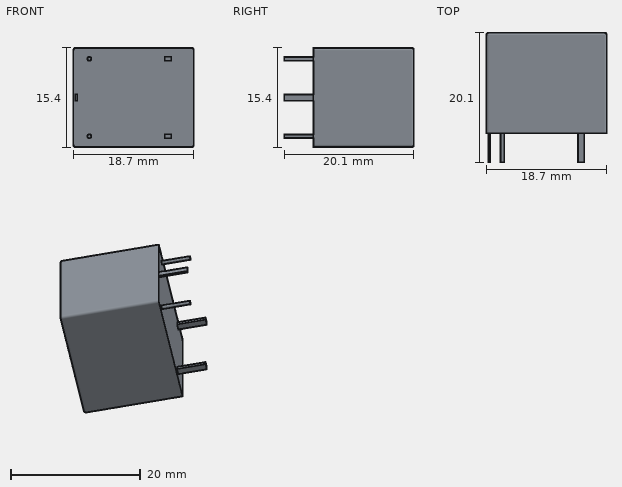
import cadquery as cq

width = 18.7
height = 15.4
total_depth = 20.1
pin_length = 4.5
housing_depth = total_depth - pin_length
edge_radius = 0.4

row_z = 5.99
round_pin_x = -6.85
blade_pin_x = 5.37
side_pin_x = -8.86

round_pin_diameter = 0.6
blade_width = 1.0
blade_thickness = 0.6
side_pin_thickness = 0.3

pin_face = cq.Workplane("XZ")


def make_housing():
    box = pin_face.rect(width, height).extrude(-housing_depth)
    return box.edges("|Y or >Y").fillet(edge_radius)


def rectangular_pin(x, z, size_x, size_z):
    return pin_face.center(x, z).rect(size_x, size_z).extrude(pin_length)


def round_pin(x, z):
    return pin_face.center(x, z).circle(round_pin_diameter / 2).extrude(pin_length)


result = make_housing()
for z in (-row_z, row_z):
    result = result.union(round_pin(round_pin_x, z))
    result = result.union(rectangular_pin(blade_pin_x, z, blade_width, blade_thickness))
result = result.union(rectangular_pin(side_pin_x, 0, side_pin_thickness, blade_width))